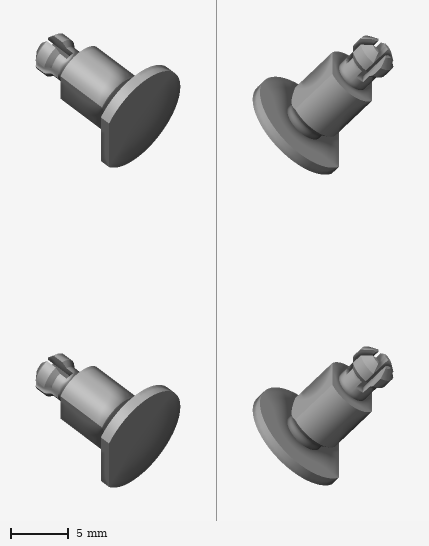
import cadquery as cq
import math

overall_height = 55.0
stud_count = 2

plate_diameter = 10.0
plate_thickness = 1.0
plate_flat_offset = 3.95
neck_diameter = 3.8

body_diameter = 5.5
body_flat_width = 4.5
body_chamfer = (body_diameter - body_flat_width) / 2

stem_diameter = 3.0
head_diameter = neck_diameter
tip_diameter = 2.2
bore_diameter = 1.6
slot_width = 0.8
slot_depth = 3.0

head_front = 0.65
head_back = 1.7
stem_start = 2.2
body_start = 4.0
body_end = 9.5
stud_length = 11.5
plate_start = stud_length - plate_thickness



def make_snap_end():
    """Barbed head and stem, bored and split lengthwise into four fingers."""
    shaft = (
        cq.Workplane("XY")
        .moveTo(0, 0)
        .lineTo(0, tip_diameter / 2)
        .lineTo(head_front, head_diameter / 2)
        .lineTo(head_back, head_diameter / 2)
        .lineTo(stem_start, stem_diameter / 2)
        .lineTo(body_start, stem_diameter / 2)
        .lineTo(body_start, 0)
        .close()
        .revolve(360, (0, 0, 0), (1, 0, 0))
    )
    from_tip = (False, True, True)
    upright_slot = cq.Workplane("XY").box(slot_depth, slot_width, head_diameter, centered=from_tip)
    level_slot = cq.Workplane("XY").box(slot_depth, head_diameter, slot_width, centered=from_tip)
    bore = cq.Workplane("YZ").circle(bore_diameter / 2).extrude(slot_depth)
    return shaft.cut(upright_slot).cut(level_slot).cut(bore)


def make_body():
    """Cylinder chamfered at its flange end, with flats on the -Y and +Y sides."""
    length = body_end - body_start
    cylinder = (
        cq.Workplane("YZ", origin=(body_start, 0, 0))
        .circle(body_diameter / 2)
        .extrude(length)
        .faces(">X")
        .chamfer(body_chamfer)
    )
    between_flats = cq.Workplane("XY", origin=(body_start, 0, 0)).box(
        length, body_flat_width, body_diameter, centered=(False, True, True)
    )
    return cylinder.intersect(between_flats)


def make_neck():
    """Round neck joining the body to the plate."""
    return (
        cq.Workplane("YZ", origin=(body_end, 0, 0))
        .circle(neck_diameter / 2)
        .extrude(plate_start - body_end)
    )


def make_plate():
    """Round plate with one flat edge facing -Y."""
    radius = plate_diameter / 2
    half_chord = math.sqrt(radius**2 - plate_flat_offset**2)
    return (
        cq.Workplane("YZ", origin=(plate_start, 0, 0))
        .moveTo(-plate_flat_offset, -half_chord)
        .threePointArc((radius, 0), (-plate_flat_offset, half_chord))
        .close()
        .extrude(plate_thickness)
    )


def make_stud():
    """One complete snap stud with its axis on X and its tip at the origin."""
    return make_snap_end().union(make_body()).union(make_neck()).union(make_plate())


stud_spacing = (overall_height - plate_diameter) / (stud_count - 1)
stud = make_stud()
studs = []
for index in range(stud_count):
    studs.append(stud.translate((0, 0, index * stud_spacing)).val())

result = cq.Compound.makeCompound(studs)